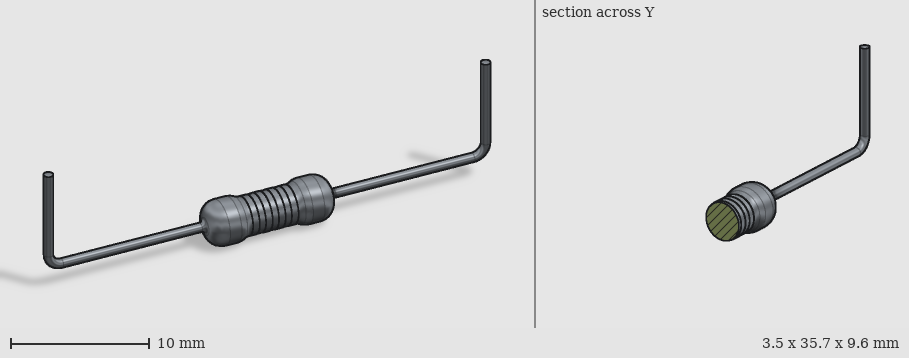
import cadquery as cq
import math

overall_length = 35.7
lead_top = 7.85
wire_radius = 0.35
bend_radius = 1.05

cap_radius = 1.75
barrel_radius = 1.48
band_radius = 1.5
dome_radius = 1.2
dome_start = 3.8
neck_start = 1.82
cap_edge = 2.85
lead_fillet = 0.35

band_count = 4
band_width = 0.55
band_pitch = 1.05


def body_end():
    """Revolve the +Y end of the body: S-shaped neck, cap, dome and lead fillet."""
    neck_length = (cap_edge - neck_start) / 2
    neck_drop = (cap_radius - barrel_radius) / 2
    neck_middle = (barrel_radius + neck_drop, neck_start + neck_length)

    neck_radius = (neck_length**2 + neck_drop**2) / (2 * neck_drop)
    half_arc_angle = math.asin(neck_length / neck_radius) / 2
    first_arc_middle = (
        barrel_radius + neck_radius * (1 - math.cos(half_arc_angle)),
        neck_start + neck_radius * math.sin(half_arc_angle),
    )

    dome_center_radius = cap_radius - dome_radius
    fillet_center_radius = wire_radius + lead_fillet
    center_distance = dome_radius + lead_fillet
    contact_angle = math.asin((fillet_center_radius - dome_center_radius) / center_distance)
    fillet_end = dome_start + center_distance * math.cos(contact_angle)
    dome_end = (
        dome_center_radius + dome_radius * math.sin(contact_angle),
        dome_start + dome_radius * math.cos(contact_angle),
    )

    return (
        cq.Workplane("XY")
        .moveTo(0, neck_start)
        .lineTo(barrel_radius, neck_start)
        .threePointArc(first_arc_middle, neck_middle)
        .tangentArcPoint((cap_radius, cap_edge), relative=False)
        .lineTo(cap_radius, dome_start)
        .tangentArcPoint(dome_end, relative=False)
        .tangentArcPoint((wire_radius, fillet_end), relative=False)
        .lineTo(0, fillet_end)
        .close()
        .revolve(360, (0, 0, 0), (0, 1, 0))
    )


def disc_along_y(radius, length, center=0):
    """A cylinder on the body axis, centred at the given Y."""
    return (
        cq.Workplane("XZ", origin=(0, center + length / 2, 0))
        .circle(radius)
        .extrude(length)
    )


def bent_wire():
    """One continuous wire through the body, with both ends turned up."""
    lead_y = overall_length / 2 - wire_radius
    straight_end = lead_y - bend_radius
    path = (
        cq.Workplane("YZ")
        .moveTo(-lead_y, lead_top)
        .lineTo(-lead_y, bend_radius)
        .tangentArcPoint((-straight_end, 0), relative=False)
        .lineTo(straight_end, 0)
        .tangentArcPoint((lead_y, bend_radius), relative=False)
        .lineTo(lead_y, lead_top)
    )
    return (
        cq.Workplane("XY", origin=(0, -lead_y, lead_top))
        .circle(wire_radius)
        .sweep(path)
    )


positive_end = body_end()
barrel = disc_along_y(barrel_radius, 2 * neck_start)
result = barrel.union(positive_end).union(positive_end.mirror("XZ"))
for index in range(band_count):
    band_center = (index - (band_count - 1) / 2) * band_pitch
    result = result.union(disc_along_y(band_radius, band_width, band_center))
result = result.union(bent_wire())